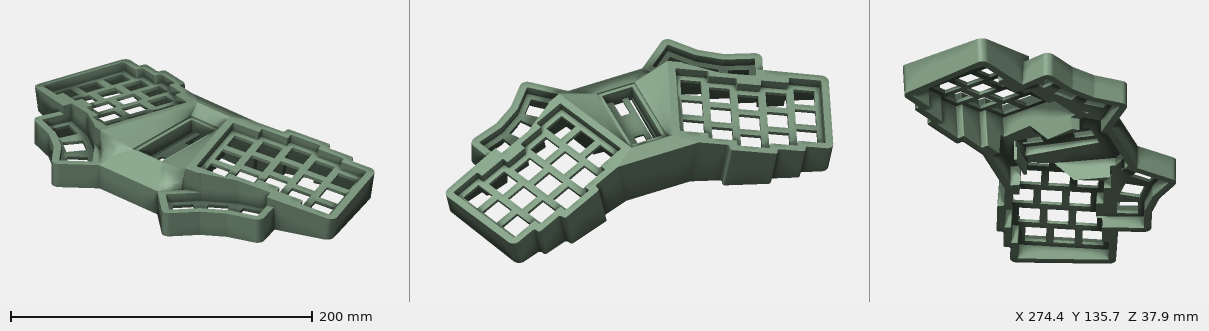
import cadquery as cq
import math

key_pitch = 19.05
key_hole = 14.0
well_margin = 1.5
wall = 5.0
well_half = key_pitch / 2 + well_margin
outer_half = well_half + wall
plate_thickness = 2.3
outer_corner_radius = wall
step_radius = 1.8
well_corner_radius = 0.8

splay = 20.0
tent = 10.0
case_height = 37.87
finger_well_depth = 6.3
block_depth = 80.0
ground_size = 500.0
row_offsets = [-key_pitch, 0, key_pitch]
stagger = 4.75
middle_home = (79.25, -0.4)
front_flare = 1.7

thumb_height = 17.4
thumb_well_depth = 6.3
thumb_hollow_reach = 3 * wall
thumb_step = 15.0
thumb_radius = 84.2
thumb_middle = (65.35, -32.45)
thumb_middle_angle = 35.0

bridge_back_y = 42.6
bay_y = -2.95
rim_half_x = 13.6
rim_half_y = 28.1
rim_back_z = 31.1
rim_front_z = 27.4
seat_depth = 1.2
bay_half_x = 10.9
bay_half_y = 25.8
bay_depth = 10.0
slot_half_x = 10.0
lip_thickness = 1.5
end_wall_thickness = 2.0

controller_half_x = 7.5
controller_thickness = 1.5
window_width = 6.8
window_length = 14.8

rim_tilt = math.degrees(math.atan2(rim_back_z - rim_front_z, 2 * rim_half_y))
seat_z = (rim_back_z + rim_front_z) / 2 - seat_depth
well_reach = row_offsets[-1] + well_half
block_reach = row_offsets[-1] + outer_half
thumb_floor = thumb_height - thumb_well_depth
thumb_angles = [thumb_middle_angle + i * thumb_step for i in (-1, 0, 1)]

inner, index, middle, ring, little = [
    (middle_home[0] + across * key_pitch, middle_home[1] - drop * stagger)
    for across, drop in [(-2, 2), (-1, 1), (0, 0), (1, 1), (2, 2)]
]
columns = [inner, index, middle, ring, little]

inner_p = inner[0] - outer_half
inner_back_q = inner[1] + block_reach
index_back_q = index[1] + block_reach
front_q = little[1] - block_reach
inner_front_q = front_q - front_flare
splay_rad = math.radians(splay)
tent_rad = math.radians(tent)
bridge_p = (bridge_back_y - index_back_q * math.cos(splay_rad)) / math.sin(splay_rad)


def tent_transform(p, q):
    """Where a point of the block's flat top goes once splayed and tented, before the lift."""
    u = p * math.cos(splay_rad) - q * math.sin(splay_rad)
    v = p * math.sin(splay_rad) + q * math.cos(splay_rad)
    return cq.Vector(u * math.cos(tent_rad), v, -u * math.sin(tent_rad))


lift = cq.Vector(0, 0, case_height - tent_transform(inner_p, inner_back_q).z)


def top_point(p, q):
    return tent_transform(p, q) + lift


def place_block(shape):
    splayed = shape.rotate((0, 0, 0), (0, 0, 1), splay)
    return splayed.rotate((0, 0, 0), (0, 1, 0), tent).translate(lift)


def round_corners(body, corners, radius):
    """Fillet the upright edges that stand on the given plan points."""
    near = 0.1
    tall = 2 * block_depth
    for x, y in corners:
        column = cq.selectors.BoxSelector((x - near, y - near, -tall), (x + near, y + near, tall))
        body = body.edges(column).fillet(radius)
    return body


def plan_prism(points, bottom, top):
    return cq.Workplane("XY").workplane(offset=bottom).polyline(points).close().extrude(top - bottom)


def finger_block():
    little_out = little[0] + outer_half
    ring_out = ring[0] + outer_half
    middle_out = middle[0] + outer_half
    middle_in = middle[0] - outer_half
    little_back = little[1] + block_reach
    ring_back = ring[1] + block_reach
    middle_back = middle[1] + block_reach
    outer_corners = [(little_out, front_q), (little_out, little_back)]
    steps = [
        (ring_out, little_back),
        (ring_out, ring_back),
        (middle_out, ring_back),
        (middle_out, middle_back),
        (middle_in, middle_back),
        (middle_in, index_back_q),
    ]
    bridge_side = [(bridge_p, index_back_q), (inner_p, inner_back_q), (inner_p, inner_front_q)]
    block = plan_prism(outer_corners + steps + bridge_side, -block_depth, 0)
    block = round_corners(block, outer_corners, outer_corner_radius)
    block = round_corners(block, steps, step_radius)
    return place_block(block)


def column_wells(bottom, top):
    wells = cq.Workplane("XY").workplane(offset=bottom).pushPoints(columns)
    wells = wells.rect(2 * well_half, 2 * well_reach).extrude(top - bottom)
    return wells.edges("|Z").fillet(well_corner_radius)


def finger_cuts():
    plate_top = -finger_well_depth
    plate_bottom = plate_top - plate_thickness
    keys = [(p, q + row) for p, q in columns for row in row_offsets]
    holes = cq.Workplane("XY").workplane(offset=plate_bottom).pushPoints(keys)
    holes = holes.rect(key_hole, key_hole).extrude(plate_thickness)
    well = column_wells(plate_top, wall)
    hollow = column_wells(-block_depth, plate_bottom)
    return place_block(well.union(holes).union(hollow))


def fan_point(angle, radius, along=0.0):
    """Point at a radius from the fan's centre, moved along the tangent."""
    middle_rad = math.radians(thumb_middle_angle)
    turn = math.radians(angle)
    center_x = thumb_middle[0] + thumb_radius * math.sin(middle_rad)
    center_y = thumb_middle[1] - thumb_radius * math.cos(middle_rad)
    return (
        center_x - radius * math.sin(turn) + along * math.cos(turn),
        center_y + radius * math.cos(turn) + along * math.sin(turn),
    )


def fan_outline(half, extra_high=0.0):
    """Outline at a distance from the key centres, with the outer arc side moved out further if asked.

    Points 0 and 5 are the end corners on the low side, 1 and 4 those on the high side.
    """
    outer_angle, middle_angle, inner_angle = thumb_angles
    bends = [(outer_angle + middle_angle) / 2, (middle_angle + inner_angle) / 2]
    miter = math.cos(math.radians(thumb_step / 2))
    low = thumb_radius - half
    high = thumb_radius + half + extra_high
    return [
        fan_point(outer_angle, low, half),
        fan_point(outer_angle, high, half),
        *[fan_point(bend, high / miter) for bend in bends],
        fan_point(inner_angle, high, -half),
        fan_point(inner_angle, low, -half),
        *[fan_point(bend, low / miter) for bend in reversed(bends)],
    ]


def thumb_block():
    outline = fan_outline(outer_half)
    low_corners = [outline[0], outline[5]]
    return round_corners(plan_prism(outline, 0, thumb_height), low_corners, outer_corner_radius)


def thumb_cuts():
    well = plan_prism(fan_outline(well_half), thumb_floor, case_height)
    hollow = plan_prism(fan_outline(well_half, thumb_hollow_reach), 0, thumb_floor - plate_thickness)
    cuts = well.union(hollow)
    for angle in thumb_angles:
        hole = cq.Workplane("XY").rect(key_hole, key_hole).extrude(thumb_height)
        x, y = fan_point(angle, thumb_radius)
        cuts = cuts.union(hole.rotate((0, 0, 0), (0, 0, 1), angle).translate((x, y, 0)))
    return cuts


ridge = top_point(inner_p, inner_back_q)
block_front = top_point(inner_p, inner_front_q)
back_edge = top_point(bridge_p, index_back_q)
rim_back = cq.Vector(rim_half_x, bay_y + rim_half_y, rim_back_z)
rim_front = cq.Vector(rim_half_x, bay_y - rim_half_y, rim_front_z)
fan_corner = cq.Vector(*fan_outline(outer_half)[4], thumb_height)
fan_foot = cq.Vector(*fan_point(thumb_angles[-1], thumb_radius + outer_half), thumb_height)


def mirrored(v):
    return cq.Vector(-v.x, v.y, v.z)


def on_ground(v):
    return cq.Vector(v.x, v.y, 0)


def flat_face(*corners):
    return cq.Face.makeFromWires(cq.Wire.makePolygon(list(corners), close=True))


def twisted_face(a, b, c, d):
    return cq.Face.makeRuledSurface(cq.Edge.makeLine(a, b), cq.Edge.makeLine(c, d))


def bridge():
    """Body whose flanks twist from the blocks down to the rim and the thumb fans."""
    spine = [on_ground(back_edge), back_edge, ridge, rim_back, rim_front, fan_corner, on_ground(fan_corner)]
    faces = [flat_face(a, b, mirrored(b), mirrored(a)) for a, b in zip(spine, spine[1:])]
    corners = [ridge, block_front, rim_back, rim_front, fan_corner, fan_foot, back_edge]
    for side in (corners, [mirrored(v) for v in corners]):
        top, front, rim_b, rim_f, fan, foot, back = side
        faces += [
            twisted_face(top, front, rim_b, rim_f),
            twisted_face(front, foot, rim_f, fan),
            flat_face(top, front, foot),
            flat_face(top, foot, on_ground(foot), on_ground(top)),
            flat_face(top, on_ground(top), on_ground(back), back),
            flat_face(fan, foot, on_ground(foot), on_ground(fan)),
        ]
    base = [on_ground(v) for v in (back_edge, ridge, fan_foot, fan_corner)]
    faces.append(flat_face(*base, *[mirrored(v) for v in reversed(base)]))
    return cq.Workplane(cq.Solid.makeSolid(cq.Shell.makeShell(faces)))


def bay_box(half_x, half_y, bottom, top):
    """Box centred on the bay and tilted with its rim; heights are measured from the seat."""
    box = cq.Workplane("XY").workplane(offset=bottom).rect(2 * half_x, 2 * half_y).extrude(top - bottom)
    return box.rotate((0, 0, 0), (1, 0, 0), rim_tilt).translate((0, bay_y, seat_z))


def rim_seat():
    low_back = rim_back.z - seat_depth
    low_front = rim_front.z - seat_depth
    profile = [
        (rim_back.y, low_back),
        (rim_front.y, low_front),
        (rim_front.y, case_height),
        (rim_back.y, case_height),
    ]
    return cq.Workplane("YZ").polyline(profile).close().extrude(rim_half_x, both=True)


def bridge_hollow():
    """Open space under the bay, apart from a wall behind it that reaches the ground."""
    ceiling = seat_z - bay_depth - lip_thickness - rim_half_y * math.tan(math.radians(rim_tilt))
    right = [
        (ridge.x + wall, bridge_back_y - wall),
        (fan_foot.x - wall, fan_foot.y + wall),
        (fan_corner.x - wall, fan_corner.y + wall),
    ]
    left = [(-x, y) for x, y in reversed(right)]
    end_wall = cq.Workplane("XY", origin=(0, bay_y + bay_half_y + end_wall_thickness / 2, 0))
    end_wall = end_wall.rect(2 * slot_half_x, end_wall_thickness).extrude(ceiling)
    return plan_prism(right + left, 0, ceiling).cut(end_wall)


def build_case():
    below_ground = cq.Workplane("XY").rect(ground_size, ground_size).extrude(-2 * block_depth)
    half = finger_block().cut(below_ground).union(thumb_block())
    cuts = finger_cuts().union(thumb_cuts())
    body = half.union(half.mirror("YZ")).union(bridge())
    body = body.cut(cuts).cut(cuts.mirror("YZ"))
    body = body.cut(rim_seat()).cut(bridge_hollow())
    body = body.cut(bay_box(bay_half_x, bay_half_y, -bay_depth, seat_depth))
    return body.cut(bay_box(slot_half_x, bay_half_y, -2 * bay_depth, 0))


def build_controller_plate():
    bottom = -bay_depth
    top = bottom + controller_thickness
    plate = bay_box(controller_half_x, bay_half_y, bottom, top)
    windows = bay_box(window_width / 2, bay_half_y, bottom, top)
    bar = bay_box(window_width / 2, bay_half_y - window_length, bottom, top)
    return plate.cut(windows.cut(bar))


case = build_case()
controller_plate = build_controller_plate()

result = cq.Compound.makeCompound([*case.solids().vals(), *controller_plate.solids().vals()])